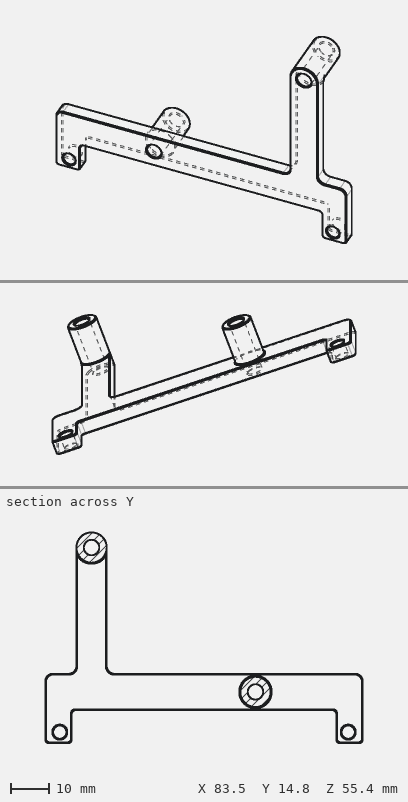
import cadquery as cq

length = 83.5
height = 55.4
thickness = 4.0
bar_bottom = 8.7
bar_top = 18.3
foot_width = 7.0

standoff_diameter = 8.0
arm_width = standoff_diameter
arm_x = 71.3
arm_left = arm_x - arm_width / 2
arm_right = arm_x + arm_width / 2
arm_end_z = height - arm_width / 2

total_depth = 14.8
bar_standoff_x = 28.2
bar_standoff = (bar_standoff_x, (bar_bottom + bar_top) / 2)
arm_standoff = (arm_x, arm_end_z)
standoff_places = [bar_standoff, arm_standoff]
standoff_hole_diameter = 4.0

foot_hole_diameter = 3.4
foot_hole_inset = 3.8
foot_hole_z = 2.9
foot_hole_places = [(foot_hole_inset, foot_hole_z), (length - foot_hole_inset, foot_hole_z)]

large_radius = 2.0
small_radius = 1.0
edge_chamfer = 0.3


def box(x_start, x_end, z_start, z_end):
    """Block of plate thickness spanning the given X and Z ranges."""
    block = cq.Workplane("XY").box(x_end - x_start, thickness, z_end - z_start, centered=False)
    return block.translate((x_start, 0, z_start))


def edges_at(places):
    """Selector for the front-to-back corner edges at the given (x, z) places."""
    reach = 0.1
    selector = None
    for x, z in places:
        spot = cq.selectors.BoxSelector(
            (x - reach, -reach, z - reach), (x + reach, thickness + reach, z + reach)
        )
        selector = spot if selector is None else selector + spot
    return selector


def make_plate():
    """Bar with two feet and an upright arm, with rounded corners and chamfered rims."""
    arm_end = cq.Workplane("XZ").center(arm_x, arm_end_z).circle(arm_width / 2).extrude(-thickness)
    plate = (
        box(0, length, bar_bottom, bar_top)
        .union(box(0, foot_width, 0, bar_top))
        .union(box(length - foot_width, length, 0, bar_top))
        .union(box(arm_left, arm_right, bar_bottom, arm_end_z))
        .union(arm_end)
        .clean()
    )
    large_corners = [(0, bar_top), (length, bar_top), (arm_left, bar_top), (arm_right, bar_top)]
    small_corners = [
        (x, z)
        for x in (foot_width, length - foot_width)
        for z in (0, bar_bottom)
    ] + [(0, 0), (length, 0)]
    plate = plate.edges("|Y").edges(edges_at(large_corners)).fillet(large_radius)
    plate = plate.edges("|Y").edges(edges_at(small_corners)).fillet(small_radius)
    return plate.faces("<Y or >Y").edges().chamfer(edge_chamfer)


def make_standoff(place):
    """Round post running from the front face to the full depth, chamfered at both ends."""
    x, z = place
    post = cq.Workplane("XZ").center(x, z).circle(standoff_diameter / 2).extrude(-total_depth)
    return post.faces("<Y or >Y").edges().chamfer(edge_chamfer)


def make_collar(place):
    """Conical flare where a standoff meets the back of the plate, with its root inside the plate."""
    x, z = place
    post_radius = standoff_diameter / 2
    base_radius = post_radius + edge_chamfer
    root = thickness - edge_chamfer
    top = thickness + edge_chamfer
    return (
        cq.Workplane("XY")
        .moveTo(0, root)
        .lineTo(base_radius, root)
        .lineTo(base_radius, thickness)
        .lineTo(post_radius, top)
        .lineTo(0, top)
        .close()
        .revolve(360, (0, 0, 0), (0, 1, 0))
        .translate((x, 0, z))
    )


def make_arm_collar():
    """Flare on the lower half of the arm standoff, cut flush with the sides of the arm."""
    lower_half = box(arm_left, arm_right, arm_end_z - arm_width, arm_end_z)
    return make_collar(arm_standoff).intersect(lower_half.translate((0, thickness / 2, 0)))


def make_hole(place, diameter, depth):
    """Cutter for a through hole with a chamfered mouth at both ends."""
    x, z = place
    radius = diameter / 2
    mouth_radius = radius + edge_chamfer
    return (
        cq.Workplane("XY")
        .lineTo(mouth_radius, 0)
        .lineTo(radius, edge_chamfer)
        .lineTo(radius, depth - edge_chamfer)
        .lineTo(mouth_radius, depth)
        .lineTo(0, depth)
        .close()
        .revolve(360, (0, 0, 0), (0, 1, 0))
        .translate((x, 0, z))
    )


result = make_plate().union(make_collar(bar_standoff)).union(make_arm_collar())
for standoff_place in standoff_places:
    result = result.union(make_standoff(standoff_place))
for standoff_place in standoff_places:
    result = result.cut(make_hole(standoff_place, standoff_hole_diameter, total_depth))
for foot_hole_place in foot_hole_places:
    result = result.cut(make_hole(foot_hole_place, foot_hole_diameter, thickness))